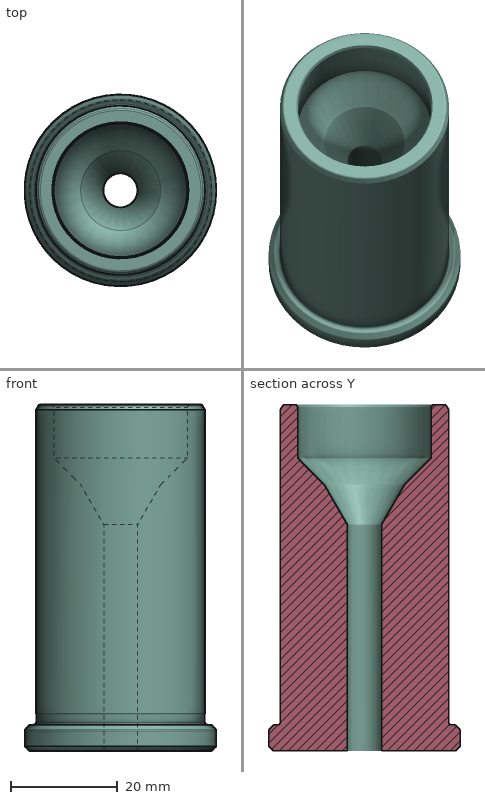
import cadquery as cq
import math

total_height = 65.0

flange_radius = 36.0 / 2
flange_height = 5.0
flange_top_chamfer = 1.0
flange_bottom_chamfer = 0.95

corner_round = 0.4

shaft_radius = 31.75 / 2
relief_radius = 31.7 / 2
relief_top = 7.0
relief_taper = 0.15
root_fillet = 0.4

lead_height = 1.03
lead_angle = 30

cup_radius = 25.0 / 2
mouth_height = 0.5
mouth_angle = math.radians(30)
cup_depth = 10.0
cone_step_radius = 15.0 / 2
hole_radius = 6.35 / 2
shallow_cone_angle = math.radians(45)
steep_cone_angle = math.radians(60)

axis_start = (0, 0, 0)
axis_end = (0, 1, 0)


def revolve_profile(profile):
    """Spin a closed (radius, height) profile about the Z axis."""
    return profile.close().revolve(360, axis_start, axis_end)


def add_rounded_corner(profile, corner, directions, radius):
    """Run the profile to a corner and round it off.

    The directions are the headings, in degrees, before and after a left turn.
    """
    heading_in, heading_out = (math.radians(angle) for angle in directions)
    half_turn = (heading_out - heading_in) / 2
    tangent_length = radius * math.tan(half_turn)
    apex_gap = radius / math.cos(half_turn) - radius
    heading_to_centre = heading_in + half_turn + math.pi / 2

    def step(heading, distance):
        return (
            corner[0] + distance * math.cos(heading),
            corner[1] + distance * math.sin(heading),
        )

    return profile.lineTo(*step(heading_in, -tangent_length)).threePointArc(
        step(heading_to_centre, apex_gap),
        step(heading_out, tangent_length),
    )


def make_body():
    """Flanged shaft as one solid of revolution."""
    profile = (
        cq.Workplane("XZ")
        .lineTo(flange_radius - flange_bottom_chamfer, 0)
        .lineTo(flange_radius, flange_bottom_chamfer)
    )
    profile = add_rounded_corner(
        profile,
        corner=(flange_radius, flange_height - flange_top_chamfer),
        directions=(90, 135),
        radius=corner_round,
    )
    profile = add_rounded_corner(
        profile,
        corner=(flange_radius - flange_top_chamfer, flange_height),
        directions=(135, 180),
        radius=corner_round,
    )
    profile = (
        profile.lineTo(relief_radius + root_fillet, flange_height)
        .radiusArc((relief_radius, flange_height + root_fillet), root_fillet)
        .lineTo(relief_radius, relief_top)
        .lineTo(shaft_radius, relief_top + relief_taper)
        .lineTo(shaft_radius, total_height - lead_height)
    )
    profile = add_rounded_corner(
        profile,
        corner=(shaft_radius - lead_height * math.tan(math.radians(lead_angle)), total_height),
        directions=(90 + lead_angle, 180),
        radius=corner_round,
    )
    return revolve_profile(profile.lineTo(0, total_height))


def make_bore():
    """Void of the cup, its tapered mouth, the two cones and the through hole."""
    mouth_radius = cup_radius + mouth_height * math.tan(mouth_angle)
    cup_floor = total_height - cup_depth
    step_height = cup_floor - (cup_radius - cone_step_radius) * math.tan(shallow_cone_angle)
    throat_height = step_height - (cone_step_radius - hole_radius) * math.tan(steep_cone_angle)

    profile = (
        cq.Workplane("XZ")
        .lineTo(hole_radius, 0)
        .lineTo(hole_radius, throat_height)
        .lineTo(cone_step_radius, step_height)
        .lineTo(cup_radius, cup_floor)
        .lineTo(cup_radius, total_height - mouth_height)
        .lineTo(mouth_radius, total_height)
        .lineTo(0, total_height)
    )
    return revolve_profile(profile)


result = make_body().cut(make_bore())